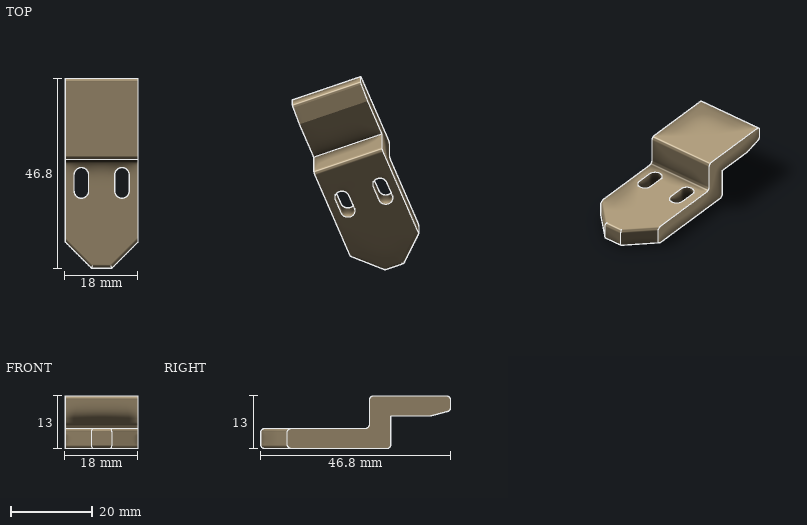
import cadquery as cq
import math

width = 18.0
length = 46.75
height = 13.0

plate_thickness = 5.0
raised_length = 20.0
raised_underside_length = 14.7
edge_radius = 1.0

taper_length = 5.0
taper_angle = 15.0

nose_width = 5.0
nose_angle = 45.0

slot_width = 3.5
slot_length = 7.5
slot_spacing = 10.0
slot_center_y = 21.0

riser_front_y = length - raised_length
riser_rear_y = length - raised_underside_length
raised_bottom_z = height - plate_thickness
taper_rise = taper_length * math.tan(math.radians(taper_angle))
nose_inset = (width - nose_width) / 2
nose_depth = nose_inset / math.tan(math.radians(nose_angle))


def make_stepped_strip():
    """Side outline in the YZ plane, extruded symmetrically across the width."""
    corners = [
        (0, 0),
        (0, plate_thickness),
        (riser_front_y, plate_thickness),
        (riser_front_y, height),
        (length, height),
        (length, raised_bottom_z + taper_rise),
        (length - taper_length, raised_bottom_z),
        (riser_rear_y, raised_bottom_z),
        (riser_rear_y, 0),
    ]
    return cq.Workplane("YZ").polyline(corners).close().extrude(width / 2, both=True)


def round_cross_edge(body, y, z):
    """Round the edge that runs across the width at the given place."""
    edge = body.edges(cq.selectors.NearestToPointSelector((0, y, z)))
    return body.newObject(edge.vals()).fillet(edge_radius)


def cut_nose_corner(body, side):
    """Cut one front corner of the low plate; side is -1 or 1."""
    corner = [
        (side * nose_width / 2, 0),
        (side * width / 2, 0),
        (side * width / 2, nose_depth),
    ]
    return body.cut(cq.Workplane("XY").polyline(corner).close().extrude(plate_thickness))


def round_nose(body):
    """Round the top and bottom edges of the three nose faces."""
    margin = edge_radius / 2
    nose_box = cq.selectors.BoxSelector(
        (-width, -margin, -margin),
        (width, nose_depth, plate_thickness + margin),
    )
    return body.edges(nose_box).edges("not |Z").fillet(edge_radius)


def make_slots():
    half_spacing = slot_spacing / 2
    return (
        cq.Workplane("XY")
        .pushPoints([(-half_spacing, slot_center_y), (half_spacing, slot_center_y)])
        .slot2D(slot_length, slot_width, angle=90)
        .extrude(plate_thickness)
    )


result = make_stepped_strip()

rounded_places = [
    (riser_front_y, plate_thickness),
    (riser_front_y, height),
    (length, height),
    (length, raised_bottom_z + taper_rise),
    (riser_rear_y, 0),
]
for place_y, place_z in rounded_places:
    result = round_cross_edge(result, place_y, place_z)

for nose_side in (-1, 1):
    result = cut_nose_corner(result, nose_side)
result = round_nose(result)

result = result.cut(make_slots())